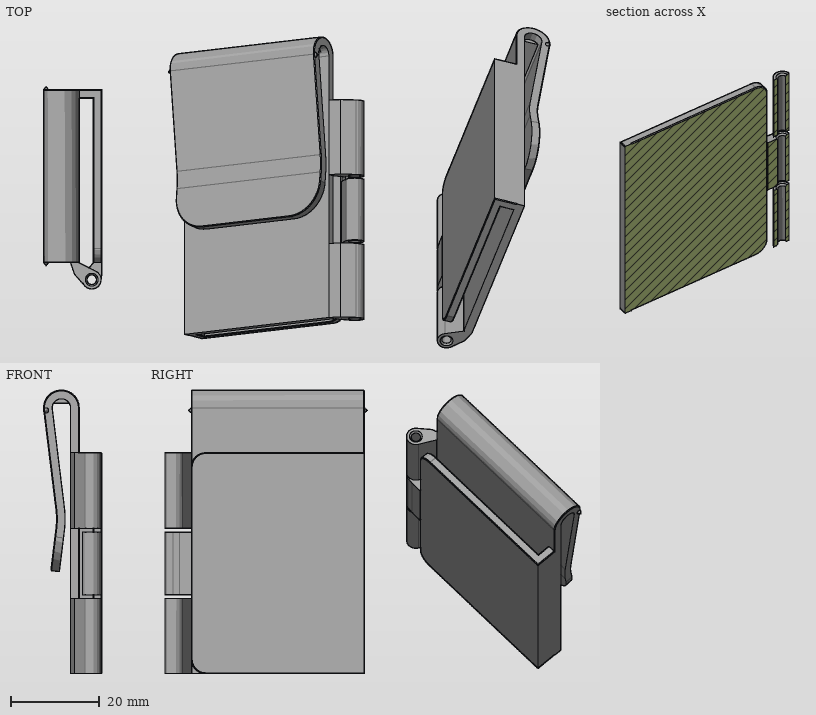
import cadquery as cq
import math

total_height = 64.1
plate_width = 39.1
sheet = 2.0
back_x = 13.2
rear_height = 49.9

hook_radius = 4.05
tilt = math.radians(7)
bend_top = 36.9
bend_bottom = 32.95
tongue_bottom = 23.25
tongue_corner = 7.7
hook_web_drop = 3.0
web_recess = 2.0

rear_corner = 3.2
knuckle_radius = 2.1
bore_diameter = 2.1
bore_chamfer = 0.4
edge_chamfer = 0.2
hinge_y = -23.4
hinge_x = 10.9
rear_knuckle_bend_y = -22.2
knuckle_shoulder = (7.0, -22.2)
front_knuckles = [(0, 17.0), (32.8, rear_height)]
rear_knuckles = [(17.8, 32.0)]

nub_radius = 0.6
nub_height = 0.7

half_width = plate_width / 2
hook_x = hook_radius
hook_z = total_height - hook_radius
front_outer_x = 2 * hook_radius
front_inner_x = front_outer_x - sheet
hook_inner_radius = hook_radius - sheet
rear_inner_x = back_x - sheet
hinge = (hinge_x, hinge_y)


def polar(center, radius, angle):
    return (center[0] + radius * math.cos(angle), center[1] + radius * math.sin(angle))


def box(x_range, y_range, z_range):
    (x0, x1), (y0, y1), (z0, z1) = x_range, y_range, z_range
    return cq.Workplane("XY").box(x1 - x0, y1 - y0, z1 - z0, centered=False).translate((x0, y0, z0))


def tangent_point(point, side):
    """Point where a line from `point` touches the knuckle; side picks one of the two."""
    dx = point[0] - hinge_x
    dy = point[1] - hinge_y
    spread = math.acos(knuckle_radius / math.hypot(dx, dy))
    return polar(hinge, knuckle_radius, math.atan2(dy, dx) + side * spread)


def clip_sheet():
    """Front leaf, hook and tongue, bent from one strip."""
    hook = (hook_x, hook_z)
    touch_angle = math.pi + tilt
    touch_outer = polar(hook, hook_radius, touch_angle)
    touch_inner = polar(hook, hook_inner_radius, touch_angle)
    bend_x = touch_outer[0] + (touch_outer[1] - bend_top) * math.tan(tilt)
    bend_radius = (bend_top - bend_bottom) / (2 * math.sin(tilt))
    bend = (bend_x - bend_radius * math.cos(tilt), (bend_top + bend_bottom) / 2)
    far_radius = bend_radius + sheet
    tail = (bend_bottom - tongue_bottom) / math.cos(tilt)

    def tail_end(radius):
        start = polar(bend, radius, -tilt)
        return (start[0] - tail * math.sin(tilt), start[1] - tail * math.cos(tilt))

    strip = (
        cq.Workplane("XZ")
        .moveTo(front_outer_x, 0)
        .lineTo(front_outer_x, hook_z)
        .threePointArc((hook_x, total_height), touch_outer)
        .lineTo(*polar(bend, bend_radius, tilt))
        .threePointArc(polar(bend, bend_radius, 0), polar(bend, bend_radius, -tilt))
        .lineTo(*tail_end(bend_radius))
        .lineTo(*tail_end(far_radius))
        .lineTo(*polar(bend, far_radius, -tilt))
        .threePointArc(polar(bend, far_radius, 0), polar(bend, far_radius, tilt))
        .lineTo(*touch_inner)
        .threePointArc((hook_x, hook_z + hook_inner_radius), (front_inner_x, hook_z))
        .lineTo(front_inner_x, 0)
        .close()
        .extrude(half_width, both=True)
    )
    free_end = cq.selectors.BoxSelector(
        (-0.65, -plate_width, tongue_bottom - 0.65), (front_inner_x - 0.65, plate_width, tongue_bottom + 0.65)
    )
    rounded = strip.edges(free_end).edges("not |Y").fillet(tongue_corner)
    return rounded.faces(">X").edges("|Z").chamfer(edge_chamfer)


def hook_web():
    """Flat-bottomed filling in the top of the hook, set back from both ends."""
    half_length = half_width - web_recess
    core = (
        cq.Workplane("XZ")
        .center(hook_x, hook_z)
        .circle(hook_inner_radius + sheet / 2)
        .extrude(half_length, both=True)
    )
    upper = box(
        (0, front_outer_x), (-half_width, half_width), (total_height - hook_web_drop, total_height)
    )
    return core.intersect(upper)


def rear_leaf():
    """Leaf parallel to the front one, with the wall that joins the two."""
    leaf = box((rear_inner_x, back_x), (-half_width, half_width), (0, rear_height))
    leaf = leaf.edges("|X and <Y").fillet(rear_corner)
    wall = box((front_inner_x, back_x), (half_width - sheet, half_width), (0, rear_height))
    joined = leaf.union(wall)
    top_and_bottom = joined.faces("<Z or >Z").edges()
    return top_and_bottom.chamfer(edge_chamfer)


def front_profile():
    lower = tangent_point(knuckle_shoulder, 1)
    upper = tangent_point((front_outer_x, -half_width), -1)
    return (
        cq.Workplane("XY")
        .moveTo(front_inner_x, -half_width)
        .lineTo(*knuckle_shoulder)
        .lineTo(*lower)
        .threePointArc(polar(hinge, knuckle_radius, -math.pi / 4), upper)
        .lineTo(front_outer_x, -half_width)
        .close()
    )


def rear_profile():
    back_bend = (back_x, rear_knuckle_bend_y)
    return (
        cq.Workplane("XY")
        .moveTo(rear_inner_x, -half_width)
        .lineTo(*tangent_point((rear_inner_x, -half_width), 1))
        .threePointArc((hinge_x, hinge_y - knuckle_radius), tangent_point(back_bend, -1))
        .lineTo(*back_bend)
        .lineTo(back_x, -half_width)
        .close()
    )


def knuckle(profile, bottom, top):
    body = profile.extrude(top - bottom)
    bored = body.faces(">Z").workplane(origin=(hinge_x, hinge_y, 0)).hole(bore_diameter)
    bored = bored.edges("%CIRCLE").edges(
        cq.selectors.RadiusNthSelector(0)
    ).chamfer(bore_chamfer)
    return bored.translate((0, 0, bottom))


def edge_nub(side):
    """Small cone on one side edge of the tongue, just below the hook."""
    cone = cq.Solid.makeCone(
        nub_radius, 0, nub_height,
        pnt=cq.Vector(nub_radius, side * half_width, hook_z - nub_radius),
        dir=cq.Vector(0, side, 0),
    )
    return cq.Workplane(cone)


result = clip_sheet().union(hook_web()).union(rear_leaf())
for bottom, top in front_knuckles:
    result = result.union(knuckle(front_profile(), bottom, top))
for bottom, top in rear_knuckles:
    result = result.union(knuckle(rear_profile(), bottom, top))
for side in (-1, 1):
    result = result.union(edge_nub(side))